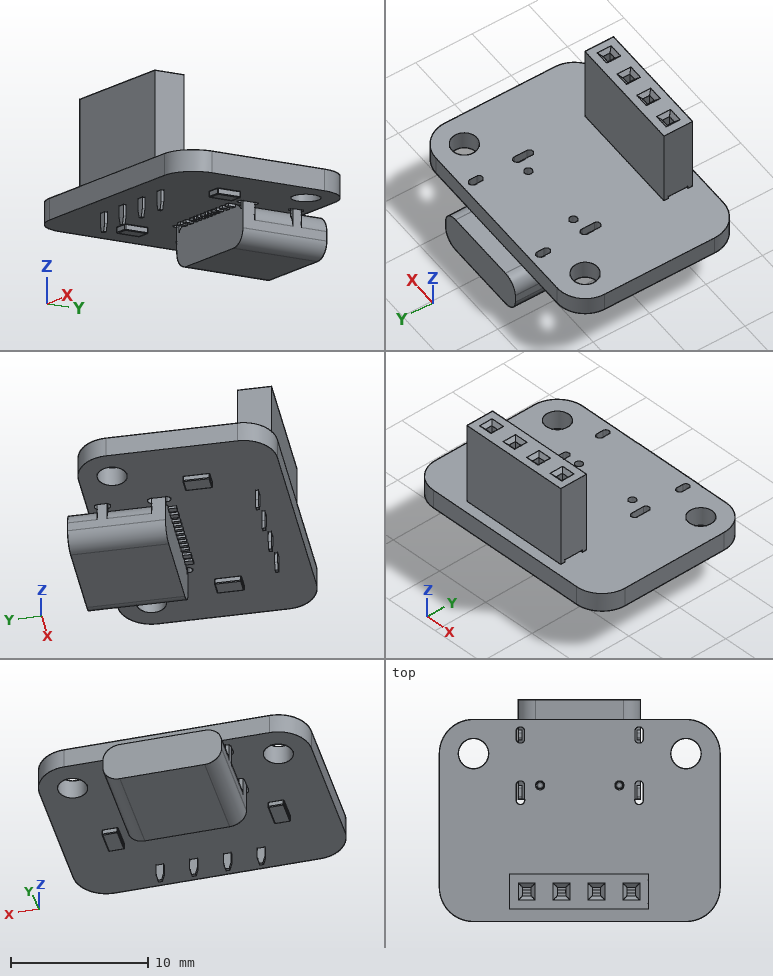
import cadquery as cq


overall_height = 11.91

board_length = 20.5
board_width = 14.75
board_thickness = 1.65
board_corner_radius = 2.5
mount_hole_diameter = 2.2
mount_x = board_length / 2 - board_corner_radius
mount_y = board_width / 2 - board_corner_radius

shell_width = 8.94
shell_x = -0.02
shell_length = 7.28
shell_height = 3.25
shell_corner_radius = 1.27
shell_overhang = 1.44
shell_front_y = board_width / 2 + shell_overhang
shell_rear_y = shell_front_y - shell_length

tab_thickness = 0.29
tab_rise = 1.0
tab_top_radius = 0.2
front_tab_length = 0.74
front_tab_y = 6.23
rear_tab_length = 1.02
rear_tab_y = shell_rear_y + rear_tab_length / 2
slot_x = 4.33
slot_width = 0.6
front_slot_length = 1.19
rear_slot_length = 1.72
rear_slot_y = 2.03

peg_x = 2.9
peg_y = 2.56
peg_diameter = 0.5
peg_rise = 0.82
peg_top_radius = 0.08
peg_hole_diameter = 0.65

lead_reach = 0.62
lead_thickness = 0.2
narrow_lead_width = 0.2
wide_lead_width = 0.4
lead_pitch = 0.5
narrow_lead_places = [lead_pitch * (step + 0.5) for step in range(4)]
wide_lead_places = [2.45, 3.22]

way_count = 4
way_pitch = 2.55
strip_length = 10.15
strip_width = 2.55
strip_height = overall_height - shell_height - board_thickness
strip_x = -0.06
strip_y = -5.19
way_centre_x = -0.051
strip_top_z = board_thickness + strip_height
strip_recess_width = 1.72
strip_recess_height = 0.2
socket_mouth = 1.23
socket_bore = 0.62
socket_mouth_depth = 0.3
socket_depth = 4.1

pin_width = 0.6
pin_thickness = 0.23
pin_tip_width = 0.29
pin_reach = 1.45
pin_taper_length = 0.6
pin_top_depth = 2.05
pin_top_z = strip_top_z - pin_top_depth

chip_width = 1.2
chip_length = 2.0
chip_height = 0.5
chip_edge_chamfer = 0.06
chip_x = 6.25
chip_y = -1.19

way_places = [
    (way_centre_x + (way - (way_count - 1) / 2) * way_pitch, strip_y) for way in range(way_count)
]


def make_pin(x, y):
    """Flat blade, tapered at its lower end, that runs from the socket through the board."""
    half_width = pin_width / 2
    half_tip = pin_tip_width / 2
    shoulder_z = pin_taper_length - pin_reach
    return (
        cq.Workplane("XZ", origin=(x, y, 0))
        .moveTo(-half_width, pin_top_z)
        .lineTo(-half_width, shoulder_z)
        .lineTo(-half_tip, -pin_reach)
        .lineTo(half_tip, -pin_reach)
        .lineTo(half_width, shoulder_z)
        .lineTo(half_width, pin_top_z)
        .close()
        .extrude(pin_thickness / 2, both=True)
    )


def make_board():
    """Rounded plate with mounting holes, peg holes, pin holes and tab slots."""
    board = (
        cq.Workplane("XY")
        .rect(board_length, board_width)
        .extrude(board_thickness)
        .edges("|Z")
        .fillet(board_corner_radius)
    )
    underside = cq.Workplane("XY")
    mount_holes = (
        underside.pushPoints([(-mount_x, mount_y), (mount_x, mount_y)])
        .circle(mount_hole_diameter / 2)
        .extrude(board_thickness)
    )
    peg_holes = (
        underside.pushPoints([(-peg_x, peg_y), (peg_x, peg_y)])
        .circle(peg_hole_diameter / 2)
        .extrude(board_thickness)
    )
    pin_holes = underside.pushPoints(way_places).rect(pin_width, pin_thickness).extrude(board_thickness)
    board = board.cut(mount_holes).cut(peg_holes).cut(pin_holes)
    for slot_y, slot_length in [(front_tab_y, front_slot_length), (rear_slot_y, rear_slot_length)]:
        slots = (
            underside.pushPoints([(-slot_x, slot_y), (slot_x, slot_y)])
            .slot2D(slot_length, slot_width, 90)
            .extrude(board_thickness)
        )
        board = board.cut(slots)
    return board


def make_tab(side, y, length):
    """Straight strip of the shell wall that rises into the board, rounded at its top corners."""
    root_z = -shell_corner_radius
    height = tab_rise - root_z
    return (
        cq.Workplane("XY")
        .box(tab_thickness, length, height)
        .edges("|X and >Z")
        .fillet(tab_top_radius)
        .translate((shell_x + side * (shell_width - tab_thickness) / 2, y, root_z + height / 2))
    )


def make_lead(x, width):
    """Flat contact end that lies on the board underside behind the shell."""
    return (
        cq.Workplane("XY")
        .box(width, lead_reach, lead_thickness)
        .translate((x, shell_rear_y - lead_reach / 2, -lead_thickness / 2))
    )


def make_connector():
    """Rounded shell with four tabs, two locating pegs and a row of solder leads."""
    connector = (
        cq.Workplane("XY")
        .box(shell_width, shell_length, shell_height)
        .edges("|Y")
        .fillet(shell_corner_radius)
        .translate((shell_x, shell_front_y - shell_length / 2, -shell_height / 2))
    )
    peg = (
        cq.Workplane("XY")
        .circle(peg_diameter / 2)
        .extrude(peg_rise)
        .faces(">Z")
        .edges()
        .fillet(peg_top_radius)
    )
    for side in (-1, 1):
        connector = connector.union(make_tab(side, front_tab_y, front_tab_length))
        connector = connector.union(make_tab(side, rear_tab_y, rear_tab_length))
        connector = connector.union(peg.translate((side * peg_x, peg_y, 0)))
        for place in narrow_lead_places:
            connector = connector.union(make_lead(side * place, narrow_lead_width))
        for place in wide_lead_places:
            connector = connector.union(make_lead(side * place, wide_lead_width))
    return connector


def make_socket_strip():
    """Housing with one funnel-mouthed socket per way and a pin standing in each socket."""
    strip = (
        cq.Workplane("XY", origin=(strip_x, strip_y, board_thickness))
        .rect(strip_length, strip_width)
        .extrude(strip_height)
    )
    recess = (
        cq.Workplane("XY", origin=(strip_x, strip_y, board_thickness))
        .rect(strip_length, strip_recess_width)
        .extrude(strip_recess_height)
    )
    strip = strip.cut(recess)
    for x, y in way_places:
        top = cq.Workplane("XY", origin=(x, y, strip_top_z))
        bore = top.rect(socket_bore, socket_bore).extrude(-socket_depth)
        mouth = (
            top.rect(socket_mouth, socket_mouth)
            .workplane(offset=-socket_mouth_depth)
            .rect(socket_bore, socket_bore)
            .loft()
        )
        strip = strip.cut(bore).cut(mouth).union(make_pin(x, y))
    return strip


def make_chip(x):
    """Small chamfered block under the board."""
    return (
        cq.Workplane("XY")
        .box(chip_width, chip_length, chip_height)
        .edges()
        .chamfer(chip_edge_chamfer)
        .translate((x, chip_y, -chip_height / 2))
    )


board = make_board()
connector = make_connector()
socket_strip = make_socket_strip()
chips = [make_chip(side * chip_x) for side in (-1, 1)]

result = cq.Compound.makeCompound(
    [board.val(), connector.val(), socket_strip.val(), *[chip.val() for chip in chips]]
)